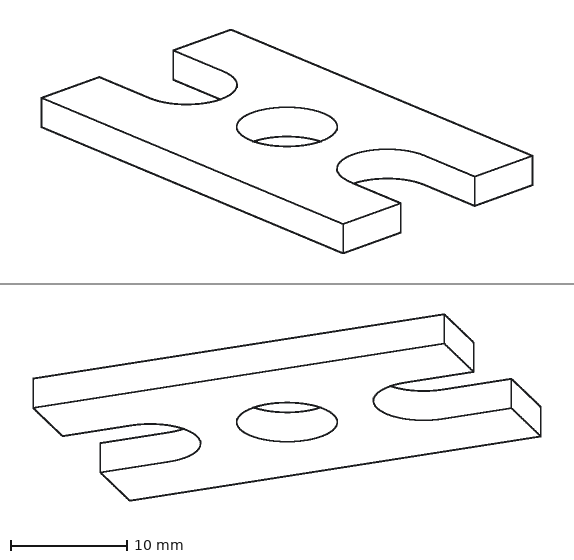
import cadquery as cq

length = 38.1
width = 22.2
thickness = 2.75

opening_diameter = 8.65
slot_depth = 10.7

underside = cq.Workplane("XY", origin=(0, 0, -thickness / 2))

plate = underside.rect(length, width).extrude(thickness)
center_hole = underside.circle(opening_diameter / 2).extrude(thickness)


def end_slot(side):
    """Round-bottomed slot open at one end of the plate (side is -1 or +1)."""
    return (
        underside.center(side * length / 2, 0)
        .slot2D(2 * slot_depth, opening_diameter)
        .extrude(thickness)
    )


result = plate.cut(center_hole)
for side in (-1, 1):
    result = result.cut(end_slot(side))